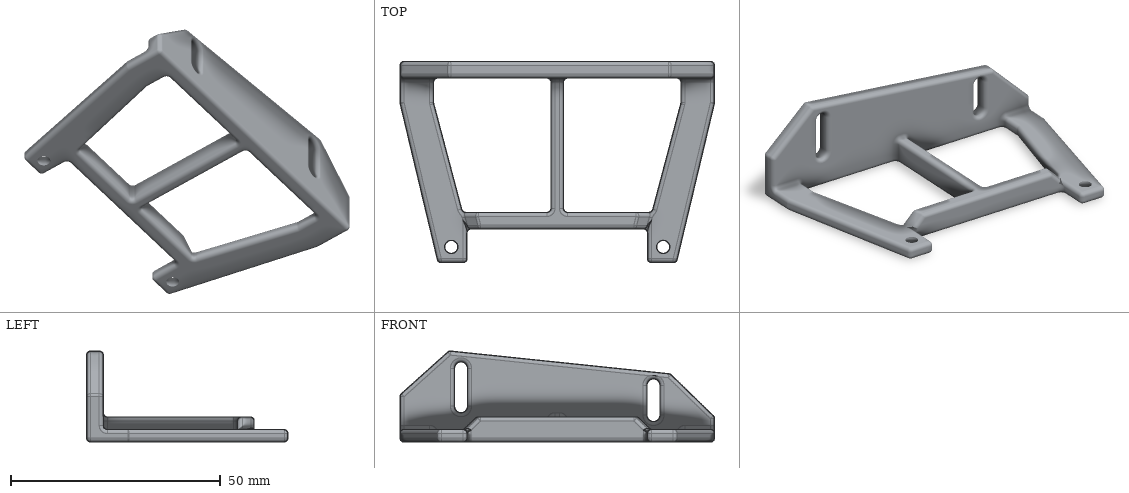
import cadquery as cq

width = 75.0
depth = 48.0
edge_radius = 1.0

plate_thickness = 4.0
plate_left_height = 11.25
plate_peak_x = -25.8
plate_peak_height = 21.75
plate_shoulder_x = 26.9
plate_shoulder_height = 16.3
plate_right_height = 6.0

slot_width = 3.1
slot_offset = 22.95
left_slot_centre_z = 13.05
left_slot_length = 12.1
right_slot_centre_z = 10.0
right_slot_length = 10.1

arm_height = 3.0
arm_root_width = 8.0
arm_bend_depth = 10.0
tab_inner_x = 21.5
tab_outer_x = 28.4
hole_diameter = 3.1
hole_inset_x = 3.75
hole_inset_y = 3.75

bar_height = 6.0
bar_back_depth = 36.0
bar_front_depth = bar_back_depth + plate_thickness
strut_width = 3.0

half_width = width / 2
arm_inner_x = half_width - arm_root_width
arm_taper = (arm_inner_x - tab_inner_x) / (bar_front_depth - arm_bend_depth)
bar_back_half = tab_inner_x + arm_taper * (bar_front_depth - bar_back_depth)


def make_plate():
    outline = [
        (-half_width, 0),
        (-half_width, plate_left_height),
        (plate_peak_x, plate_peak_height),
        (plate_shoulder_x, plate_shoulder_height),
        (half_width, plate_right_height),
        (half_width, 0),
    ]
    return cq.Workplane("XZ").polyline(outline).close().extrude(plate_thickness)


def make_arm(side):
    """One arm; side is -1 for the left arm and +1 for the right arm."""
    outline = [
        (side * half_width, 0),
        (side * half_width, -arm_bend_depth),
        (side * tab_outer_x, -depth),
        (side * tab_inner_x, -depth),
        (side * tab_inner_x, -bar_front_depth),
        (side * arm_inner_x, -arm_bend_depth),
        (side * arm_inner_x, 0),
    ]
    return cq.Workplane("XY").polyline(outline).close().extrude(arm_height)


def make_bar():
    """Bar with slanted ends along the arms, sloping down to the arm tops."""
    outline = [
        (-bar_back_half, -bar_back_depth),
        (bar_back_half, -bar_back_depth),
        (tab_inner_x, -bar_front_depth),
        (-tab_inner_x, -bar_front_depth),
    ]
    bar = cq.Workplane("XY").polyline(outline).close().extrude(bar_height)
    return bar.faces(">Z").edges("<X or >X").chamfer(bar_height - arm_height)


def make_strut():
    return (
        cq.Workplane("XY")
        .rect(strut_width, bar_front_depth)
        .extrude(bar_height)
        .translate((0, -bar_front_depth / 2, 0))
    )


def make_slot(x, z, length):
    """Slot cutter that flares outward at both plate faces, leaving rounded rims."""
    cap_margin = 4 * edge_radius
    front_cap = (
        cq.Workplane("XZ", origin=(0, -plate_thickness, 0))
        .slot2D(length + cap_margin, slot_width + cap_margin, 90)
        .extrude(edge_radius)
    )
    back_cap = front_cap.translate((0, plate_thickness + edge_radius, 0))
    throat = cq.Workplane("XZ").slot2D(length, slot_width, 90).extrude(plate_thickness)
    cutter = front_cap.union(throat).union(back_cap)
    throat_walls = cutter.faces(cq.selectors.BoxSelector(
        (-slot_width, -plate_thickness + edge_radius, -length),
        (slot_width, -edge_radius, length),
    ))
    return throat_walls.edges("not |Y").fillet(edge_radius).translate((x, 0, z))


frame = make_plate().union(make_bar()).union(make_strut())
for side in (-1, 1):
    frame = frame.union(make_arm(side))

rounded = frame.edges().fillet(edge_radius)
rounded = rounded.cut(make_slot(-slot_offset, left_slot_centre_z, left_slot_length))
rounded = rounded.cut(make_slot(slot_offset, right_slot_centre_z, right_slot_length))

hole_x = tab_inner_x + hole_inset_x
hole_y = -depth + hole_inset_y
holes = (
    cq.Workplane("XY")
    .pushPoints([(-hole_x, hole_y), (hole_x, hole_y)])
    .circle(hole_diameter / 2)
    .extrude(arm_height)
)
result = rounded.cut(holes)